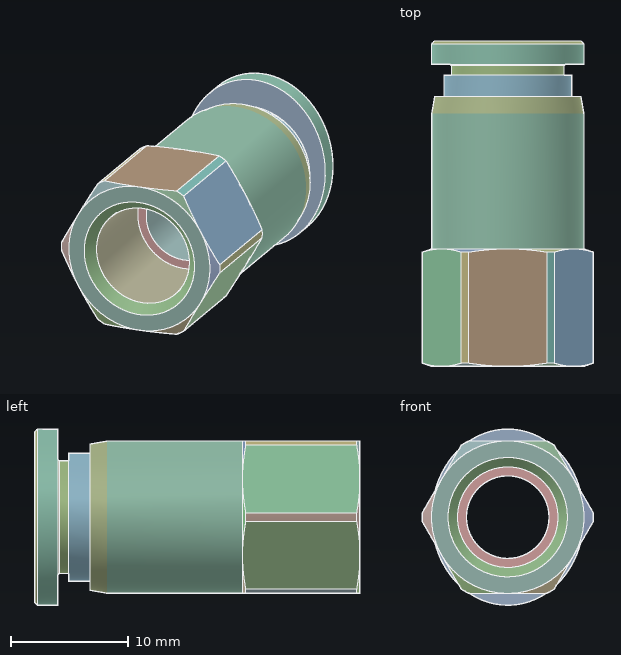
import cadquery as cq
import math

LENGTH = 27.7
BODY_DIAMETER = 13.0

ACROSS_FLATS = BODY_DIAMETER
ACROSS_CORNERS = 14.6
HEX_LENGTH = 10.0
HEX_CHAMFER_LENGTH = 0.28

NOSE_LENGTH = 1.5
NOSE_TIP_DIAMETER = 12.46

COLLAR_DIAMETER = 10.9
COLLAR_LENGTH = 1.8
NECK_DIAMETER = 9.6
NECK_LENGTH = 0.91
NECK_BEVEL = 0.1
FLANGE_WIDTH = BODY_DIAMETER
FLANGE_HEIGHT = 15.0
FLANGE_THICKNESS = 2.0
FLANGE_CHAMFER = 0.25

THROUGH_DIAMETER = 7.0
THREAD_DIAMETER = 8.55
THREAD_DEPTH = HEX_LENGTH
COUNTERSINK_DIAMETER = 10.17
COUNTERSINK_DEPTH = (COUNTERSINK_DIAMETER - THREAD_DIAMETER) / 2

FLANGE_START = LENGTH - FLANGE_THICKNESS
COLLAR_END = FLANGE_START - NECK_LENGTH
BODY_END = COLLAR_END - COLLAR_LENGTH
NOSE_START = BODY_END - NOSE_LENGTH


def revolve_profile(points):
    """Revolve an outline of (radius, y) points about the Y axis."""
    return cq.Workplane("XY").polyline(points).close().revolve(360, (0, 0, 0), (0, 1, 0))


def cross_section_plane(y):
    """Plane across the axis at the given Y, drawn in X and Z, extruding towards +Y."""
    return cq.Workplane(cq.Plane(origin=(0, y, 0), xDir=(1, 0, 0), normal=(0, 1, 0)))


def make_hexagon():
    """Hexagon with rounded corners on X and a conical chamfer at both ends."""
    sharp_corner_diameter = ACROSS_FLATS / math.cos(math.pi / 6)
    prism = cross_section_plane(0).polygon(6, sharp_corner_diameter).extrude(HEX_LENGTH)
    face_radius = ACROSS_FLATS / 2
    corner_radius = ACROSS_CORNERS / 2
    envelope = revolve_profile([
        (0, 0),
        (face_radius, 0),
        (corner_radius, HEX_CHAMFER_LENGTH),
        (corner_radius, HEX_LENGTH - HEX_CHAMFER_LENGTH),
        (face_radius, HEX_LENGTH),
        (0, HEX_LENGTH),
    ])
    return prism.intersect(envelope)


def make_barrel():
    """Round body with its tapered nose, the collar and the neck that flares into the flange."""
    return revolve_profile([
        (0, 0),
        (BODY_DIAMETER / 2, 0),
        (BODY_DIAMETER / 2, NOSE_START),
        (NOSE_TIP_DIAMETER / 2, BODY_END),
        (COLLAR_DIAMETER / 2, BODY_END),
        (COLLAR_DIAMETER / 2, COLLAR_END),
        (NECK_DIAMETER / 2, COLLAR_END),
        (NECK_DIAMETER / 2, FLANGE_START - NECK_BEVEL),
        (NECK_DIAMETER / 2 + NECK_BEVEL, FLANGE_START),
        (0, FLANGE_START),
    ])


def make_flange():
    """Elliptical release flange, taller along Z, with its outer rim chamfered."""
    flange = (
        cross_section_plane(FLANGE_START)
        .ellipse(FLANGE_HEIGHT / 2, FLANGE_WIDTH / 2, rotation_angle=90)
        .extrude(FLANGE_THICKNESS)
    )
    return flange.faces(">Y").edges().chamfer(FLANGE_CHAMFER)


def make_bore():
    """Through hole with a wider, countersunk thread bore from the hexagon face."""
    return revolve_profile([
        (0, 0),
        (COUNTERSINK_DIAMETER / 2, 0),
        (THREAD_DIAMETER / 2, COUNTERSINK_DEPTH),
        (THREAD_DIAMETER / 2, THREAD_DEPTH),
        (THROUGH_DIAMETER / 2, THREAD_DEPTH),
        (THROUGH_DIAMETER / 2, LENGTH),
        (0, LENGTH),
    ])


result = make_hexagon().union(make_barrel()).union(make_flange()).cut(make_bore())